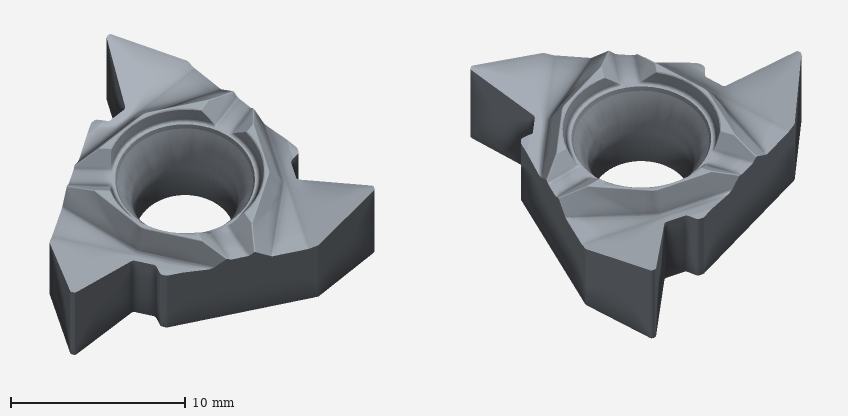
import cadquery as cq
import math


lobe_count = 3
thickness = 5.84
inscribed_radius = 6.35
corner_radius = 0.25

tooth_x = -3.86
tooth_reach = 10.205
tip_radius = 0.18
tip_flat = 0.08
tooth_half_angle = math.radians(30.7)
tip_height = 5.78

root_y = -6.26
nub_start_x = -0.03
nub_left_x = 0.44
nub_y = -6.87
nub_flat_y = -6.43

groove_floor = 4.60
rake_foot_y = -5.67
wall_foot_y = -5.51
wall_crest_y = -4.67
wall_bend_x = -1.30
wall_foot_side_y = -3.50
wall_crest_side_y = -1.80
wall_bend_radius = 1.0
rake_foot_radius = 0.40
wall_foot_radius = 0.20

slot_angle = 194.0
slot_floor = 5.08
slot_floor_width = 1.04
slot_top_width = 3.06
slot_corner_radius = 0.32

hole_radius = 5.7 / 2
seat_start = 2.0
seat_end = 4.84
seat_end_radius = 3.90
ledge_inner_radius = 4.01
ledge_outer_radius = 4.11
recess_foot_height = 5.21
recess_foot_radius = 4.30
recess_top_radius = 4.53

crest_radius = 0.08

tolerance = 0.001
margin = 3.0
side_x = -inscribed_radius
lobe_step = 360.0 / lobe_count


def turned(point, angle):
    """Rotate an XY point about the Z axis by an angle in degrees."""
    x, y = point
    a = math.radians(angle)
    return (x * math.cos(a) - y * math.sin(a), x * math.sin(a) + y * math.cos(a))


def cut_around(part, cutter):
    """Cut a body from the part at every lobe."""
    for i in range(lobe_count):
        part = part.cut(cutter.rotate((0, 0, 0), (0, 0, 1), i * lobe_step))
    return part


def distance_from_axis(edge):
    """Distance of the middle of an edge from the hole axis."""
    middle = edge.positionAt(0.5)
    return math.hypot(middle.x, middle.y)


def rake_height(y):
    """Height of the inclined rake plane at a given Y."""
    slope = (tip_height - groove_floor) / (tooth_reach + rake_foot_y)
    return groove_floor + slope * (rake_foot_y - y)


def make_body():
    """Prism with three teeth, each followed by a notch and a nub."""
    flank_run = math.tan(tooth_half_angle)
    turn = math.pi / 2 - tooth_half_angle
    tip_half = tip_flat / 2 + tip_radius * math.tan(turn / 2)
    tip_left = (tooth_x - tip_half, -tooth_reach)
    tip_right = (tooth_x + tip_half, -tooth_reach)
    heel_y = -tooth_reach + (tip_left[0] - side_x) / flank_run
    root_x = tip_right[0] + (root_y + tooth_reach) * flank_run
    normal_x, normal_y = turned((-1, 0), lobe_step)
    nub_end_x = (inscribed_radius - normal_y * nub_y) / normal_x
    lobe = [
        (side_x, heel_y),
        tip_left,
        tip_right,
        (root_x, root_y),
        (nub_start_x, root_y),
        (nub_left_x, nub_y),
        (nub_end_x, nub_y),
    ]
    outline = [turned(p, i * lobe_step) for i in range(lobe_count) for p in lobe]
    prism = cq.Workplane("XY").polyline(outline).close().extrude(thickness)
    tip_distance = math.hypot(tooth_x, tooth_reach) - 2 * tip_half
    for at_tip, radius in ((False, corner_radius), (True, tip_radius)):
        upright = prism.edges("|Z")
        chosen = upright.filter(lambda edge: (distance_from_axis(edge) > tip_distance) == at_tip)
        prism = chosen.fillet(radius)
    return prism


def wall_section(height, straight_y, side_y):
    """Level section of the chip groove, bounded inwards by the bent wall."""
    slope = (straight_y - side_y) / (wall_bend_x - side_x)
    start = (side_x - margin, side_y - slope * margin)
    angle = math.atan(slope)
    angled = (math.cos(angle), math.sin(angle))
    straight = (1, 0)
    setback = wall_bend_radius * math.tan(-angle / 2)
    bend_start = (wall_bend_x - setback * angled[0], straight_y - setback * angled[1])
    bend_end = (wall_bend_x + setback, straight_y)
    outer_y = -tooth_reach - margin
    right_x = inscribed_radius
    return (
        cq.Workplane("XY", origin=(0, 0, height))
        .spline(
            [start, bend_start, bend_end, (right_x, straight_y)],
            tangents=[angled, angled, straight, straight],
        )
        .lineTo(right_x, outer_y)
        .lineTo(start[0], outer_y)
        .close()
        .wires()
        .val()
    )


def make_groove():
    """Cutting body for one chip groove, with its rake face and wall."""
    foot = wall_section(groove_floor, wall_foot_y, wall_foot_side_y)
    crest = wall_section(thickness, wall_crest_y, wall_crest_side_y)
    groove = cq.Workplane(cq.Solid.makeLoft([foot, crest], True))
    far_y = -tooth_reach - 2 * margin
    wedge = (
        cq.Workplane("YZ", origin=(side_x - 2 * margin, 0, 0))
        .polyline([(rake_foot_y, groove_floor), (far_y, rake_height(far_y)), (far_y, groove_floor)])
        .close()
        .extrude(2 * (inscribed_radius + 2 * margin))
    )
    groove = groove.cut(wedge)
    middle = (tooth_x, rake_foot_y, groove_floor)
    groove = groove.edges(cq.selectors.NearestToPointSelector(middle)).fillet(rake_foot_radius)
    return groove.faces("<Z").edges("%BSPLINE").fillet(wall_foot_radius)


def make_nub_relief():
    """Cutting body that levels the top of one nub."""
    relief_left = nub_start_x - (nub_left_x - nub_start_x)
    relief_bottom = rake_height(nub_flat_y)
    block = cq.Workplane("XY").box(margin, margin, thickness, centered=False)
    return block.translate((relief_left, nub_flat_y - margin, relief_bottom))


def make_slot():
    """Cutting body for one radial slot with sloping sides and rounded floor corners."""
    half_floor = slot_floor_width / 2
    half_top = slot_top_width / 2
    slot = (
        cq.Workplane("YZ")
        .polyline([
            (-half_floor, slot_floor),
            (half_floor, slot_floor),
            (half_top, thickness),
            (-half_top, thickness),
        ])
        .close()
        .extrude(inscribed_radius + margin)
    )
    slot = slot.faces("<Z").edges("|X").fillet(slot_corner_radius)
    return slot.rotate((0, 0, 0), (0, 0, 1), slot_angle)


def make_hole():
    """Cutting body for the screw hole, its curved seat and the recess above it."""
    rise = seat_end - seat_start
    widening = seat_end_radius - hole_radius
    seat_radius = (rise**2 + widening**2) / (2 * widening)
    half_sweep = math.asin(rise / seat_radius) / 2
    seat_middle = (
        hole_radius + seat_radius * (1 - math.cos(half_sweep)),
        seat_start + seat_radius * math.sin(half_sweep),
    )
    return (
        cq.Workplane("XZ")
        .moveTo(0, 0)
        .lineTo(hole_radius, 0)
        .lineTo(hole_radius, seat_start)
        .threePointArc(seat_middle, (seat_end_radius, seat_end))
        .lineTo(ledge_inner_radius, slot_floor)
        .lineTo(ledge_outer_radius, slot_floor)
        .tangentArcPoint((recess_foot_radius, recess_foot_height), relative=False)
        .lineTo(recess_top_radius, thickness)
        .lineTo(0, thickness)
        .close()
        .revolve(360, (0, 0, 0), (0, 1, 0))
    )


def is_hub_crest(edge):
    """True for edges of the top face and for the ridges between a slot and a groove wall."""
    low, high = sorted((edge.startPoint().z, edge.endPoint().z))
    climbs_to_top = abs(high - thickness) < tolerance and low > slot_floor + tolerance
    return climbs_to_top and distance_from_axis(edge) > recess_top_radius - tolerance


result = make_body()
for cutter in (make_groove(), make_nub_relief(), make_slot()):
    result = cut_around(result, cutter)
result = result.cut(make_hole())
result = result.edges().filter(is_hub_crest).fillet(crest_radius)